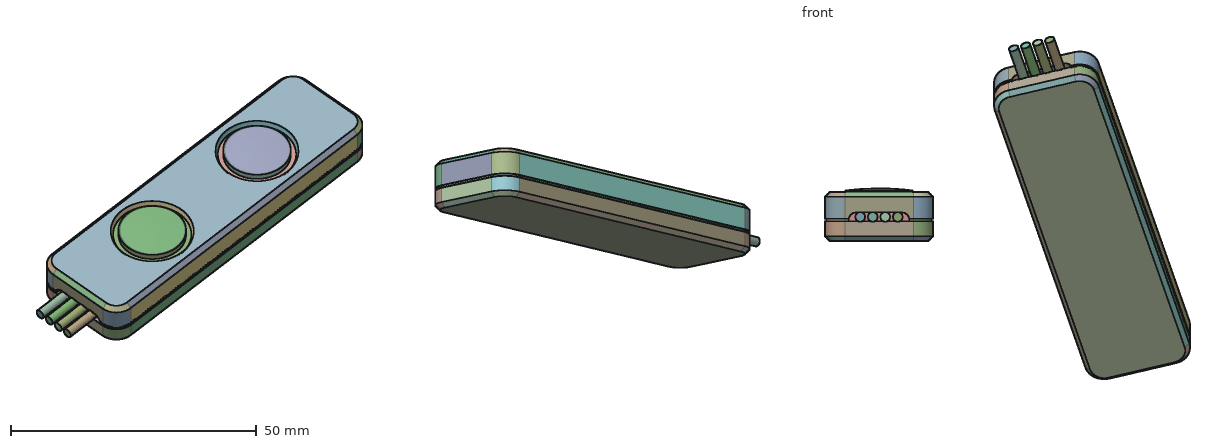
import cadquery as cq
import math

CASE_WIDTH = 22.0
CASE_LENGTH = 75.0
CASE_HEIGHT = 10.0
CORNER_RADIUS = 4.0
EDGE_CHAMFER = 1.0

BASE_HEIGHT = 4.0
JOINT_GAP = 0.5
JOINT_DEPTH = 0.25

OVERALL_HEIGHT = 10.8
BUTTON_RADIUS = 6.9
BUTTON_BEVEL_WIDTH = 0.25
BUTTON_BEVEL_HEIGHT = 0.1
BUTTON_SPACING = 31.0
BUTTON_WALL_RISE = 0.25
RECESS_RADIUS = 8.5
RECESS_FLOOR_RADIUS = 8.0
RECESS_DEPTH = 1.0

OVERALL_LENGTH = 82.1
WIRE_COUNT = 4
WIRE_PITCH = 2.55
WIRE_DIAMETER = 2.0
WIRE_HEIGHT = 4.9
SLOT_WIDTH = 12.3
SLOT_TOP = 5.8
SLOT_CORNER = 1.5
SLOT_DEPTH = 2.95

FRONT_Y = -CASE_LENGTH / 2
WIRE_EXPOSED = OVERALL_LENGTH - CASE_LENGTH
WIRE_POSITIONS = [(i - (WIRE_COUNT - 1) / 2) * WIRE_PITCH for i in range(WIRE_COUNT)]
BUTTON_POSITIONS = [-BUTTON_SPACING / 2, BUTTON_SPACING / 2]
RECESS_FLOOR = CASE_HEIGHT - RECESS_DEPTH


def rounded_block(bottom, height, inset=0.0):
    """Block with the housing outline, moved inward by the inset."""
    return (
        cq.Workplane("XY", origin=(0, 0, bottom))
        .rect(CASE_WIDTH - 2 * inset, CASE_LENGTH - 2 * inset)
        .extrude(height)
        .edges("|Z")
        .fillet(CORNER_RADIUS - inset)
    )


def make_wire(x):
    """Round wire running from the back of the slot out past the front wall."""
    return (
        cq.Workplane("XZ", origin=(x, FRONT_Y + SLOT_DEPTH, WIRE_HEIGHT))
        .circle(WIRE_DIAMETER / 2)
        .extrude(SLOT_DEPTH + WIRE_EXPOSED)
    )


def make_wire_slot():
    """Slot in the front wall, with rounded upper corners."""
    return (
        cq.Workplane("XZ", origin=(0, FRONT_Y + SLOT_DEPTH, (BASE_HEIGHT + SLOT_TOP) / 2))
        .rect(SLOT_WIDTH, SLOT_TOP - BASE_HEIGHT)
        .extrude(SLOT_DEPTH)
        .edges("|Y and >Z")
        .fillet(SLOT_CORNER)
    )


def make_recess(y):
    """Conical recess that narrows down to a flat floor."""
    return (
        cq.Workplane("XY", origin=(0, y, RECESS_FLOOR))
        .circle(RECESS_FLOOR_RADIUS)
        .workplane(offset=RECESS_DEPTH)
        .circle(RECESS_RADIUS)
        .loft(ruled=True)
    )


def make_button(y):
    """Round button standing on the recess floor, with a shallow bevel around its domed top."""
    dome_edge = BUTTON_RADIUS - BUTTON_BEVEL_WIDTH
    wall_height = CASE_HEIGHT + BUTTON_WALL_RISE - RECESS_FLOOR
    rim = wall_height + BUTTON_BEVEL_HEIGHT
    crown = OVERALL_HEIGHT - RECESS_FLOOR
    dome_rise = crown - rim
    dome_radius = (dome_edge**2 + dome_rise**2) / (2 * dome_rise)
    mid_x = dome_edge / 2
    mid_z = crown - dome_radius + math.sqrt(dome_radius**2 - mid_x**2)
    return (
        cq.Workplane("XZ", origin=(0, y, RECESS_FLOOR))
        .lineTo(BUTTON_RADIUS, 0)
        .lineTo(BUTTON_RADIUS, wall_height)
        .lineTo(dome_edge, rim)
        .threePointArc((mid_x, mid_z), (0, crown))
        .close()
        .revolve(360, (0, 0, 0), (0, 1, 0))
    )


wires = [make_wire(x) for x in WIRE_POSITIONS]
buttons = [make_button(y) for y in BUTTON_POSITIONS]

base = rounded_block(0, BASE_HEIGHT).faces("<Z").edges().chamfer(EDGE_CHAMFER)

COVER_BOTTOM = BASE_HEIGHT + JOINT_GAP
cover = rounded_block(COVER_BOTTOM, CASE_HEIGHT - COVER_BOTTOM).faces(">Z").edges().chamfer(EDGE_CHAMFER)
cover = cover.union(rounded_block(BASE_HEIGHT, JOINT_GAP, JOINT_DEPTH))
cover = cover.cut(make_wire_slot())
for button_y in BUTTON_POSITIONS:
    cover = cover.cut(make_recess(button_y))

for wire in wires:
    base = base.cut(wire)
    cover = cover.cut(wire)

result = cq.Compound.makeCompound(
    [
        base.val(),
        cover.val(),
        *[button.val() for button in buttons],
        *[wire.val() for wire in wires],
    ]
)